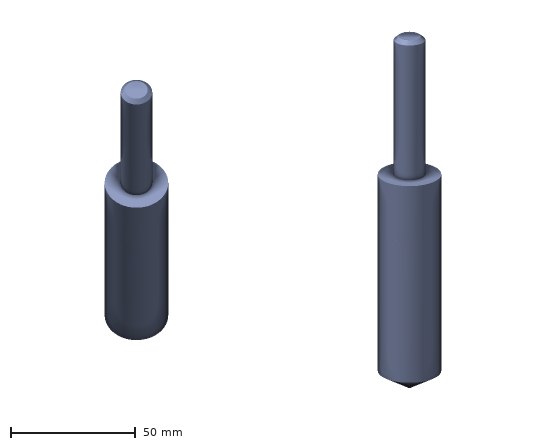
import cadquery as cq

total_height = 152.4
body_diameter = 25.5
cone_height = 7.6
joint_height = 68.6
shoulder_height = 92.7

stem_diameter = 12.6
stem_chamfer_height = 1.5
stem_chamfer_width = 1.8

body_radius = body_diameter / 2
stem_radius = stem_diameter / 2


def make_tip():
    """Lower cylinder ending in a downward cone point."""
    profile = [
        (0, 0),
        (body_radius, cone_height),
        (body_radius, joint_height),
        (0, joint_height),
    ]
    return cq.Workplane("XZ").polyline(profile).close().revolve(360, (0, 0, 0), (0, 1, 0))


def make_holder():
    """Upper collar, seated on the tip, with a chamfered stem."""
    profile = [
        (0, joint_height),
        (body_radius, joint_height),
        (body_radius, shoulder_height),
        (stem_radius, shoulder_height),
        (stem_radius, total_height - stem_chamfer_height),
        (stem_radius - stem_chamfer_width, total_height),
        (0, total_height),
    ]
    return cq.Workplane("XZ").polyline(profile).close().revolve(360, (0, 0, 0), (0, 1, 0))


tip = make_tip()
holder = make_holder()

result = cq.Compound.makeCompound([tip.val(), holder.val()])